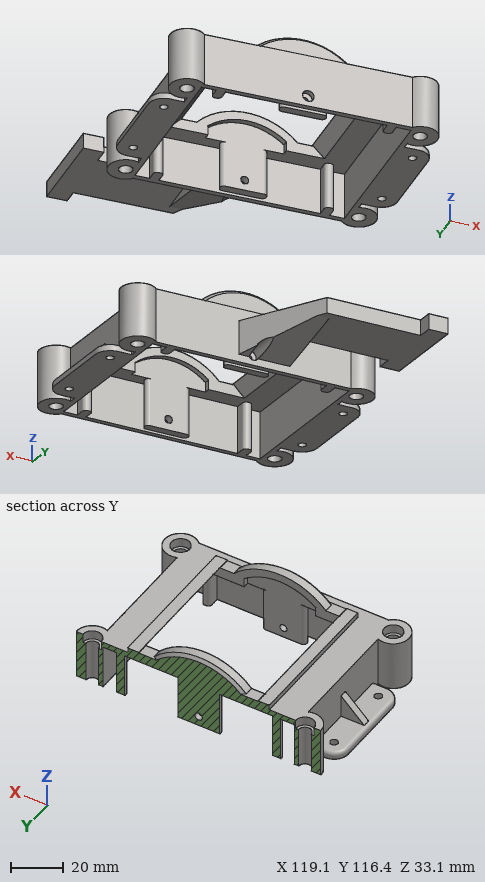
import cadquery as cq


TOTAL_X = 119.06
TOTAL_Y = 116.44
TOTAL_HEIGHT = 33.08

BODY_X = 90.0
BODY_Y = 73.4
BODY_HEIGHT = 22.4
WALL = 2.2
CAVITY_X = BODY_X - 2 * WALL
CAVITY_Y = BODY_Y - 2 * WALL
CAVITY_HEIGHT = 19.7

LIP_SIZE = 63.5
LIP_TOP = 24.6
LIP_STEP = 0.3
WINDOW_SIZE = 53.4

BOSS_SPACING_X = 95.25
BOSS_SPACING_Y = 63.5
BOSS_RADIUS = 7.14
BOSS_HOLE_DIAMETER = 5.56
COUNTERBORE_DIAMETER = 8.06
COUNTERBORE_DEPTH = 4.0

PIVOT_HEIGHT = 4.5
ARCH_RADIUS = TOTAL_HEIGHT - PIVOT_HEIGHT
ARCH_CHAMFER = 1.2
ARCH_POCKET_RADIUS = 25.0
ARCH_POCKET_WIDTH = 32.0

TAB_FACE_Y = 29.2
TAB_THICKNESS = 3.5
TAB_LENGTH = 19.05
RIB_CENTER_X = 34.9
RIB_THICKNESS = 3.8
HANGING_EDGE_RADIUS = 1.58
PIVOT_WALL_DIAMETER = 4.65
PIVOT_TAB_DIAMETER = 3.17

FLANGE_SPAN_X = 114.3
FLANGE_WIDTH = 44.45
FLANGE_HEIGHT = 3.175
FLANGE_CORNER_RADIUS = 6.35
FLANGE_EDGE_RADIUS = 1.59
FLANGE_HOLE_SPACING_X = 101.6
FLANGE_HOLE_SPACING_Y = 31.75
FLANGE_HOLE_DIAMETER = 3.26
GUSSET_THICKNESS = 3.175
GUSSET_TOP = 13.3
GUSSET_TOE_X = 55.4

ARM_TOP = 17.3
ARM_THICKNESS = 6.6
ARM_BOTTOM = ARM_TOP - ARM_THICKNESS
ARM_END_X = FLANGE_SPAN_X / 2 - TOTAL_X
BAR_END_Y = TOTAL_Y - BOSS_SPACING_Y / 2 - BOSS_RADIUS
BAR_LENGTH = 38.1
BAR_WIDTH = 8.4
ARM_WIDTH = 25.4
ARM_OUTER_Y = BAR_END_Y - (BAR_LENGTH - ARM_WIDTH) / 2
ARM_INNER_Y = ARM_OUTER_Y - ARM_WIDTH
NECK_LEFT_X = -15.8
NECK_RIGHT_X = 6.3
ARM_CORNER_X = -12.7
BRACE_END_Y = 67.3
BRACE_FOOT_Z = 3.2


def box(size_x, size_y, bottom, top):
    """Upright box centred on the Z axis."""
    return cq.Workplane("XY").workplane(offset=bottom).rect(size_x, size_y).extrude(top - bottom)


def y_cylinder(radius, start_y, end_y):
    """Cylinder around the pivot axis, which runs along Y."""
    start = cq.Workplane("XZ", origin=(0, start_y, PIVOT_HEIGHT))
    return start.circle(radius).extrude(start_y - end_y)


def both_y_sides(shape):
    return shape.union(shape.mirror("XZ"))


def both_x_sides(shape):
    return shape.union(shape.mirror("YZ"))


def make_shell():
    bosses = (
        cq.Workplane("XY")
        .rect(BOSS_SPACING_X, BOSS_SPACING_Y, forConstruction=True)
        .vertices()
        .circle(BOSS_RADIUS)
        .extrude(BODY_HEIGHT)
    )
    shell = box(BODY_X, BODY_Y, 0, BODY_HEIGHT).union(bosses)
    shell = shell.union(box(LIP_SIZE, LIP_SIZE, BODY_HEIGHT, LIP_TOP))
    shell = shell.cut(box(CAVITY_X, CAVITY_Y, 0, CAVITY_HEIGHT))
    shell = shell.cut(box(WINDOW_SIZE, WINDOW_SIZE, CAVITY_HEIGHT, LIP_TOP))
    shell = shell.cut(box(WINDOW_SIZE, LIP_SIZE, LIP_TOP - LIP_STEP, LIP_TOP))
    return shell.cut(make_window_undercut())


def make_window_undercut():
    """Prism that slopes the X edges of the window outward to the underside of the plate."""
    depth = LIP_TOP - CAVITY_HEIGHT
    outline = [
        (-WINDOW_SIZE / 2 - depth, CAVITY_HEIGHT),
        (WINDOW_SIZE / 2 + depth, CAVITY_HEIGHT),
        (WINDOW_SIZE / 2, LIP_TOP),
        (-WINDOW_SIZE / 2, LIP_TOP),
    ]
    return cq.Workplane("XZ").polyline(outline).close().extrude(WINDOW_SIZE / 2, both=True)


def cut_boss_holes(part):
    return (
        part.copyWorkplane(cq.Workplane("XY", origin=(0, 0, BODY_HEIGHT)))
        .rect(BOSS_SPACING_X, BOSS_SPACING_Y, forConstruction=True)
        .vertices()
        .cboreHole(BOSS_HOLE_DIAMETER, COUNTERBORE_DIAMETER, COUNTERBORE_DEPTH)
    )


def make_arches():
    disc = y_cylinder(ARCH_RADIUS, WINDOW_SIZE / 2, LIP_SIZE / 2).faces(">Y").chamfer(ARCH_CHAMFER)
    above_lip = box(LIP_SIZE, LIP_SIZE, BODY_HEIGHT, TOTAL_HEIGHT)
    return both_y_sides(disc.intersect(above_lip))


def make_arch_pockets():
    disc = y_cylinder(ARCH_POCKET_RADIUS, WINDOW_SIZE / 2, TAB_FACE_Y)
    above_cavity = box(ARCH_POCKET_WIDTH, LIP_SIZE, CAVITY_HEIGHT, TOTAL_HEIGHT)
    return both_y_sides(disc.intersect(above_cavity))


def make_tabs():
    center_y = TAB_FACE_Y + TAB_THICKNESS / 2
    tab = cq.Workplane("XY").center(0, center_y).rect(TAB_LENGTH, TAB_THICKNESS).extrude(CAVITY_HEIGHT)
    return both_y_sides(tab.edges("|Z").fillet(HANGING_EDGE_RADIUS))


def make_corner_ribs():
    root_y = CAVITY_Y / 2 + WALL / 2
    length = root_y - TAB_FACE_Y
    rib = (
        cq.Workplane("XY")
        .center(RIB_CENTER_X, root_y - length / 2)
        .rect(RIB_THICKNESS, length)
        .extrude(CAVITY_HEIGHT)
        .edges("|Z and <Y")
        .fillet(HANGING_EDGE_RADIUS)
    )
    return both_x_sides(both_y_sides(rib))


def make_pivot_holes():
    """Pivot holes through tabs and walls; the outer ones also run out through the arm's brace."""
    wall_hole = y_cylinder(PIVOT_WALL_DIAMETER / 2, CAVITY_Y / 2, BRACE_END_Y)
    tab_hole = y_cylinder(PIVOT_TAB_DIAMETER / 2, TAB_FACE_Y, CAVITY_Y / 2)
    return both_y_sides(wall_hole.union(tab_hole))


def make_flanges():
    plate = box(FLANGE_SPAN_X, FLANGE_WIDTH, 0, FLANGE_HEIGHT).edges("|Z").fillet(FLANGE_CORNER_RADIUS)
    plate = plate.faces(">Z").edges().fillet(FLANGE_EDGE_RADIUS)
    plate = plate.cut(box(BODY_X - WALL, FLANGE_WIDTH, 0, FLANGE_HEIGHT))
    holes = (
        cq.Workplane("XY")
        .rect(FLANGE_HOLE_SPACING_X, FLANGE_HOLE_SPACING_Y, forConstruction=True)
        .vertices()
        .circle(FLANGE_HOLE_DIAMETER / 2)
        .extrude(FLANGE_HEIGHT)
    )
    return plate.cut(holes)


def make_gussets():
    wall_x = BODY_X / 2
    root_x = wall_x - WALL / 2
    base_z = FLANGE_HEIGHT / 2
    outline = [
        (root_x, base_z),
        (GUSSET_TOE_X, base_z),
        (GUSSET_TOE_X, FLANGE_HEIGHT),
        (wall_x, GUSSET_TOP),
        (root_x, GUSSET_TOP),
    ]
    gusset = cq.Workplane("XZ").polyline(outline).close().extrude(GUSSET_THICKNESS / 2, both=True)
    return both_x_sides(gusset)


def make_arm():
    wall_y = BODY_Y / 2
    root_y = wall_y - WALL / 2
    bar_x = ARM_END_X + BAR_WIDTH
    outline = [
        (NECK_LEFT_X, root_y),
        (NECK_LEFT_X, ARM_INNER_Y),
        (bar_x, ARM_INNER_Y),
        (bar_x, BAR_END_Y - BAR_LENGTH),
        (ARM_END_X, BAR_END_Y - BAR_LENGTH),
        (ARM_END_X, BAR_END_Y),
        (bar_x, BAR_END_Y),
        (bar_x, ARM_OUTER_Y),
        (ARM_CORNER_X, ARM_OUTER_Y),
        (NECK_RIGHT_X, wall_y),
        (NECK_RIGHT_X, root_y),
    ]
    arm = cq.Workplane("XY").workplane(offset=ARM_BOTTOM).polyline(outline).close().extrude(ARM_THICKNESS)

    neck_outline = [
        (NECK_LEFT_X, root_y),
        (NECK_LEFT_X, ARM_OUTER_Y),
        (ARM_CORNER_X, ARM_OUTER_Y),
        (NECK_RIGHT_X, wall_y),
        (NECK_RIGHT_X, root_y),
    ]
    profile = [
        (root_y, BRACE_FOOT_Z),
        (wall_y, BRACE_FOOT_Z),
        (BRACE_END_Y, ARM_BOTTOM),
        (root_y, ARM_BOTTOM),
    ]
    wedge = cq.Workplane("YZ").polyline(profile).close().extrude(BODY_X / 2, both=True)
    brace = cq.Workplane("XY").polyline(neck_outline).close().extrude(ARM_BOTTOM).intersect(wedge)
    return arm.union(brace)


result = make_shell().union(make_arches()).cut(make_arch_pockets())
result = result.union(make_tabs()).union(make_corner_ribs())
result = result.union(make_flanges()).union(make_gussets()).union(make_arm())
result = cut_boss_holes(result.cut(make_pivot_holes()))